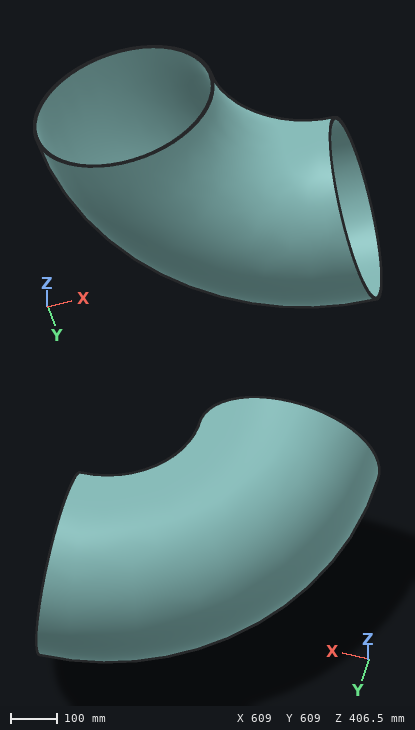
import cadquery as cq

overall_length = 609.0
pipe_diameter = 406.5
wall_thickness = 4.0
bend_angle = 90.0

outer_radius = pipe_diameter / 2
inner_radius = outer_radius - wall_thickness
bend_radius = overall_length - outer_radius

end_ring = (
    cq.Workplane("XZ")
    .center(-bend_radius, 0)
    .circle(outer_radius)
    .circle(inner_radius)
)

bend_axis_start = (bend_radius, 0)
bend_axis_end = (bend_radius, -1)
result = end_ring.revolve(bend_angle, bend_axis_start, bend_axis_end)